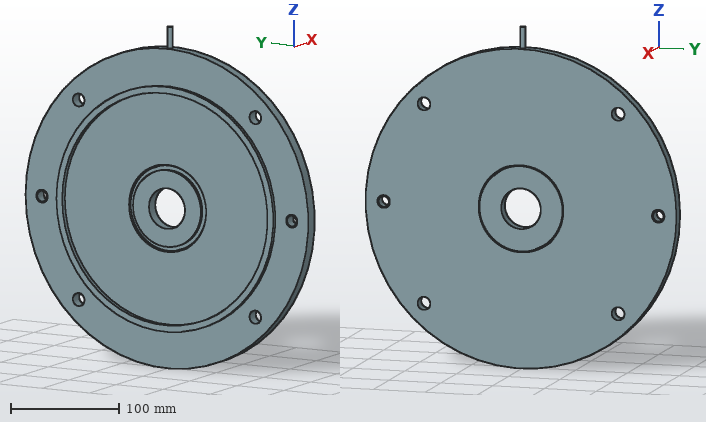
import cadquery as cq
import math

flange_diameter = 300.0
flange_thickness = 12.0
total_depth = 16.0
total_height = 320.0

lip_outer_diameter = 230.0
recess_diameter = 218.0
recess_depth = 5.0

flange_bore_diameter = 82.0
hub_diameter = 80.0
hub_boss_diameter = 72.0
hub_bore_diameter = 38.0
hub_step = 3.0

bolt_circle_diameter = 265.0
fixing_hole_diameter = 12.0
bushing_outer_diameter = 12.0
bushing_bore_diameter = 10.0
fixing_hole_angles = [45, 135, 225, 315]
bushing_angles = [0, 180]

cable_diameter = 5.0
cable_seat_depth = 9.5

flange_radius = flange_diameter / 2
cable_top = total_height - flange_radius
cable_bottom = flange_radius - cable_seat_depth


def disc(diameter, back, front, center=(0, 0)):
    """Solid cylinder along X between x = back and x = front, centred at (y, z)."""
    return cq.Workplane("YZ", origin=(back, *center)).circle(diameter / 2).extrude(front - back)


def bolt_point(angle):
    """(y, z) position on the bolt circle."""
    radius = bolt_circle_diameter / 2
    turn = math.radians(angle)
    return radius * math.cos(turn), radius * math.sin(turn)


def make_cable():
    base = cq.Workplane("XY", origin=(-flange_thickness / 2, 0, cable_bottom))
    return base.circle(cable_diameter / 2).extrude(cable_top - cable_bottom)


def make_flange(cable):
    flange = disc(flange_diameter, -flange_thickness, 0)
    flange = flange.union(disc(lip_outer_diameter, -total_depth, -flange_thickness))
    flange = flange.cut(disc(recess_diameter, -total_depth, recess_depth - total_depth))
    flange = flange.cut(disc(flange_bore_diameter, -flange_thickness, 0))
    for angle in fixing_hole_angles:
        flange = flange.cut(disc(fixing_hole_diameter, -flange_thickness, 0, bolt_point(angle)))
    for angle in bushing_angles:
        flange = flange.cut(disc(bushing_outer_diameter, -flange_thickness, 0, bolt_point(angle)))
    return flange.cut(cable)


def make_hub():
    hub = disc(hub_diameter, -flange_thickness + hub_step, 0)
    hub = hub.union(disc(hub_boss_diameter, -flange_thickness, 0))
    return hub.cut(disc(hub_bore_diameter, -flange_thickness, 0))


def make_bushing(angle):
    center = bolt_point(angle)
    sleeve = disc(bushing_outer_diameter, -flange_thickness, 0, center)
    return sleeve.cut(disc(bushing_bore_diameter, -flange_thickness, 0, center))


cable = make_cable()
flange = make_flange(cable)
hub = make_hub()
bushings = [make_bushing(angle) for angle in bushing_angles]

result = cq.Compound.makeCompound(
    [flange.val(), hub.val(), cable.val(), *[bushing.val() for bushing in bushings]]
)